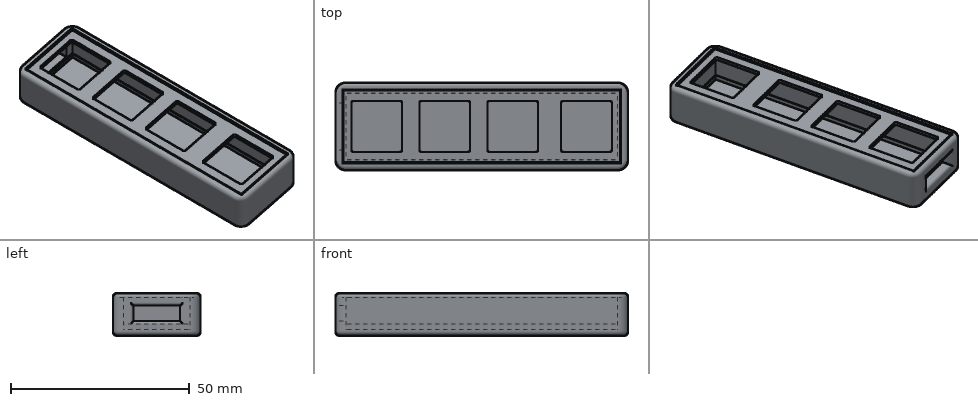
import cadquery as cq

length = 82.0
width = 24.6
height = 12.0
corner_radius = 3.0
edge_radius = 1.2

lid_recess = 0.25
lid_inset = 2.0
groove_width = 0.3
lid_thickness = 1.0
lid_top = height - lid_recess
lid_underside = lid_top - lid_thickness

cavity_inset = 3.0
floor_thickness = 1.8
undercut = 0.1
undercut_top = 3.4

window_size = 14.2
window_radius = 0.5
window_pitch = 19.0
first_window_x = -length / 2 + 4.5 + window_size / 2
last_window_x = length / 2 - 4.6 - window_size / 2
row_count = 3

port_width = 13.1
port_height = 4.35
port_sill = 4.1
mouth_radius = 0.8


def block(x_size, y_size, bottom, top):
    """Box centred on Z, between two heights."""
    return (
        cq.Workplane("XY")
        .workplane(offset=bottom)
        .rect(x_size, y_size)
        .extrude(top - bottom)
    )


def inset_block(inset, bottom, top):
    """Box set in from every outer side by the same amount."""
    return block(length - 2 * inset, width - 2 * inset, bottom, top)


def make_shell():
    shell = block(length, width, 0, height).edges("|Z").fillet(corner_radius)
    return shell.faces("<Z or >Z").edges().fillet(edge_radius)


def make_cavity():
    upper = inset_block(cavity_inset, undercut_top, lid_underside)
    lower = inset_block(cavity_inset - undercut, floor_thickness, undercut_top)
    return upper.union(lower)


def make_lid_recess():
    outer = inset_block(lid_inset, lid_underside, height)
    inner = inset_block(lid_inset + groove_width, lid_underside, lid_top)
    return outer.cut(inner)


def make_window(x_position):
    window = block(window_size, window_size, lid_underside, lid_top)
    return window.edges("|Z").fillet(window_radius).translate((x_position, 0, 0))


def cut_port(body):
    port = block(cavity_inset, port_width, port_sill, port_sill + port_height)
    body = body.cut(port.translate(((cavity_inset - length) / 2, 0, 0)))
    reach = mouth_radius / 2
    mouth = cq.selectors.BoxSelector(
        (-length / 2 - reach, -port_width / 2 - reach, port_sill - reach),
        (-length / 2 + reach, port_width / 2 + reach, port_sill + port_height + reach),
    )
    return body.edges(mouth).fillet(mouth_radius)


window_positions = [first_window_x + i * window_pitch for i in range(row_count)]
window_positions.append(last_window_x)

result = cut_port(make_shell().cut(make_cavity())).cut(make_lid_recess())
for window_x in window_positions:
    result = result.cut(make_window(window_x))